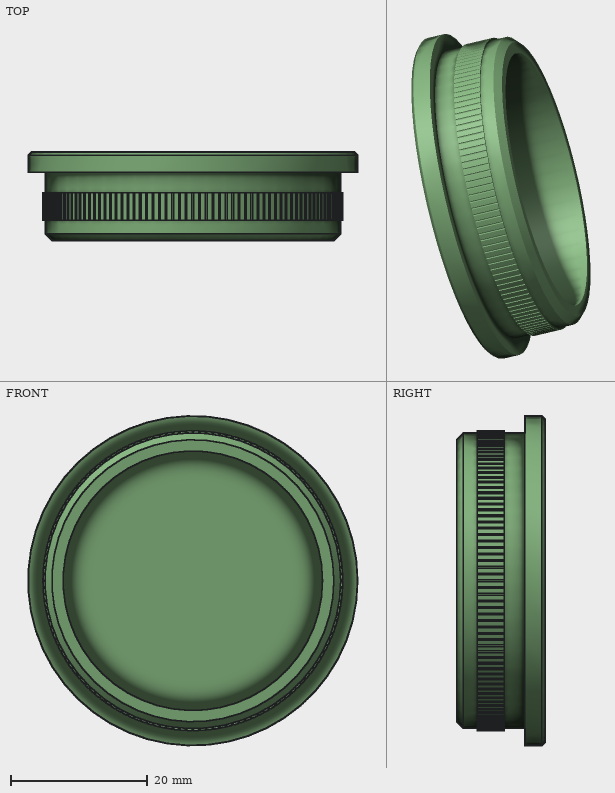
import cadquery as cq
import math

flange_diameter = 48.3
flange_thickness = 3.0
flange_chamfer = 0.5
plug_diameter = 43.3
plug_chamfer = 1.0
bore_diameter = 38.0
total_length = 13.0
floor_thickness = 3.0

band_diameter = 43.9
band_length = 4.0
band_start = 3.0
groove_count = 140
groove_radius = 0.125

band_radius = band_diameter / 2
floor_radius = band_radius - groove_radius
plug_length = total_length - flange_thickness


def cylinder(diameter, start, length):
    """Cylinder along +Y that starts at the given Y position."""
    plane = cq.Workplane("XZ", origin=(0, start, 0))
    return plane.circle(diameter / 2).extrude(-length)


def make_flange():
    flange = cylinder(flange_diameter, plug_length, flange_thickness)
    return flange.faces(">Y").chamfer(flange_chamfer)


def make_plug():
    plug = cylinder(plug_diameter, 0, plug_length)
    return plug.faces("<Y").chamfer(plug_chamfer)


def polar_point(radius, angle):
    return (radius * math.cos(angle), radius * math.sin(angle))


def make_grip_band():
    """Disc with evenly spaced half-round grooves across its rim, one of them at +X."""
    pitch = 2 * math.pi / groove_count
    half_groove = 2 * math.asin(groove_radius / 2 / band_radius)

    outline = cq.Workplane("XZ", origin=(0, band_start, 0))
    outline = outline.moveTo(*polar_point(band_radius, -half_groove))
    for index in range(groove_count):
        middle = index * pitch
        groove_end = middle + half_groove
        rib_middle = middle + pitch / 2
        next_groove = middle + pitch - half_groove
        outline = outline.threePointArc(
            polar_point(floor_radius, middle),
            polar_point(band_radius, groove_end),
        )
        outline = outline.threePointArc(
            polar_point(band_radius, rib_middle),
            polar_point(band_radius, next_groove),
        )
    return outline.close().extrude(-band_length)


def make_bore():
    return cylinder(bore_diameter, 0, total_length - floor_thickness)


result = make_flange().union(make_plug()).union(make_grip_band()).cut(make_bore())